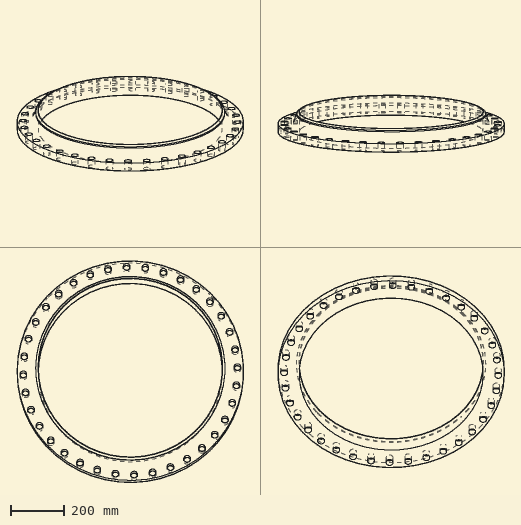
import cadquery as cq

flange_radius = 425.0
flange_thickness = 32.0
overall_height = 76.5
bore_radius = 345.0

neck_radius = 356.0
neck_base_radius = 369.0
neck_fillet = 5.0
neck_straight_height = 5.0
bevel_height = 6.0
weld_land = 2.0

bolt_count = 36
bolt_circle_radius = 402.0
bolt_hole_diameter = 25.5

bevel_start = overall_height - bevel_height
cone_top = bevel_start - neck_straight_height


def flange_ring():
    """Flat ring with its lower face on the XY plane."""
    return cq.Workplane("XY").circle(flange_radius).circle(bore_radius).extrude(flange_thickness)


def weld_neck():
    """Tapered hub ending in a short straight neck with an outer weld bevel."""
    return (
        cq.Workplane("XZ")
        .moveTo(bore_radius, 0)
        .lineTo(neck_base_radius, 0)
        .lineTo(neck_base_radius, flange_thickness)
        .lineTo(neck_radius, cone_top)
        .lineTo(neck_radius, bevel_start)
        .lineTo(bore_radius + weld_land, overall_height)
        .lineTo(bore_radius, overall_height)
        .close()
        .revolve(360, (0, 0, 0), (0, 1, 0))
    )


def bolt_holes():
    """Through holes evenly spaced on the bolt circle, one on the +X axis."""
    return (
        cq.Workplane("XY")
        .polarArray(bolt_circle_radius, 0, 360, bolt_count)
        .circle(bolt_hole_diameter / 2)
        .extrude(flange_thickness)
    )


def round_hub_base(body):
    """Fillet the corner between the flange face and the foot of the cone."""
    reach = neck_base_radius + neck_fillet
    low, high = flange_thickness - neck_fillet, flange_thickness + neck_fillet
    corner_zone = cq.selectors.BoxSelector((-reach, -reach, low), (reach, reach, high), boundingbox=True)
    return body.edges(corner_zone).fillet(neck_fillet)


body = round_hub_base(flange_ring().union(weld_neck()))
result = body.cut(bolt_holes())